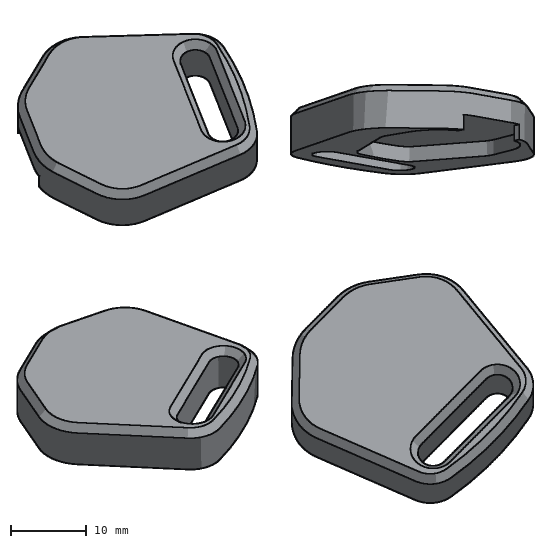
import cadquery as cq
import math

length = 30.0
height = 6.0
chamfer = 1.0
front_y = -length / 2
rear_y = length / 2

crown_radius = 45.0
rear_corner_x = 7.08
rear_corner_radius = 4.38
side_corner_x = 9.0
side_corner_y = -4.5
side_corner_radius = 6.0
front_corner_x = 3.25
front_corner_radius = 7.0

slot_length = 17.0
slot_width = 4.0
slot_y = 10.02

wall = 1.0
pocket_depth = 2.0
mouth_width = 10.0
pocket_rear_y = slot_y - slot_width / 2 - wall
pocket_front_y = front_y + wall
pocket_crown_radius = 36.0
pocket_rear_corner_x = 3.0
pocket_rear_corner_radius = 2.4
pocket_side_corner_x = 6.6
pocket_side_corner_radius = 3.0
pocket_front_corner_radius = front_corner_radius - wall


def rear_corner(x, radius, apex_y, arc_radius):
    """Corner circle touching the inside of the crowned rear edge."""
    arc_center_y = apex_y - arc_radius
    y = arc_center_y + math.sqrt((arc_radius - radius) ** 2 - x**2)
    return (x, y, radius)


def tangent_angle(first, second):
    """Outward normal angle of the flank joining two circles, listed clockwise."""
    dx = second[0] - first[0]
    dy = second[1] - first[1]
    return math.atan2(dy, dx) + math.acos((first[2] - second[2]) / math.hypot(dx, dy))


def on_circle(circle, angle):
    x, y, radius = circle
    return (x + radius * math.cos(angle), y + radius * math.sin(angle))


def mirrored(point):
    return (-point[0], point[1])


def crowned_outline(apex_y, arc_radius, rear, side, front):
    """Closed symmetric wire of tangent arcs and lines, given its right-hand circles."""
    crown_angle = math.atan2(rear[1] - (apex_y - arc_radius), rear[0])
    angles = [crown_angle, tangent_angle(rear, side), tangent_angle(side, front), -math.pi / 2]
    arcs = []
    for circle, start, end in zip((rear, side, front), angles, angles[1:]):
        arcs.append([on_circle(circle, angle) for angle in (start, (start + end) / 2, end)])
    left_arcs = [[mirrored(point) for point in reversed(arc)] for arc in reversed(arcs)]

    crown_end = arcs[0][0]
    outline = cq.Workplane("XY").moveTo(*mirrored(crown_end))
    outline = outline.threePointArc((0, apex_y), crown_end)
    for index, (start, middle, end) in enumerate(arcs + left_arcs):
        if index > 0:
            outline = outline.lineTo(*start)
        outline = outline.threePointArc(middle, end)
    return outline.close()


def make_body():
    rear = rear_corner(rear_corner_x, rear_corner_radius, rear_y, crown_radius)
    side = (side_corner_x, side_corner_y, side_corner_radius)
    front = (front_corner_x, front_y + front_corner_radius, front_corner_radius)
    outline = crowned_outline(rear_y, crown_radius, rear, side, front)
    return outline.extrude(height)


def cut_slot(body):
    slot = cq.Workplane("XY").center(0, slot_y).slot2D(slot_length, slot_width).extrude(height)
    return body.cut(slot)


def make_pocket():
    rear = rear_corner(
        pocket_rear_corner_x, pocket_rear_corner_radius, pocket_rear_y, pocket_crown_radius
    )
    side = (pocket_side_corner_x, side_corner_y, pocket_side_corner_radius)
    front = (
        front_corner_x, pocket_front_y + pocket_front_corner_radius, pocket_front_corner_radius
    )
    outline = crowned_outline(pocket_rear_y, pocket_crown_radius, rear, side, front)
    return outline.extrude(pocket_depth)


def make_mouth():
    reach = side_corner_y - front_y
    center_y = (side_corner_y + front_y) / 2
    return cq.Workplane("XY").center(0, center_y).rect(mouth_width, reach).extrude(pocket_depth)


body = cut_slot(make_body())
body = body.faces(">Z").chamfer(chamfer)
result = body.cut(make_pocket()).cut(make_mouth())